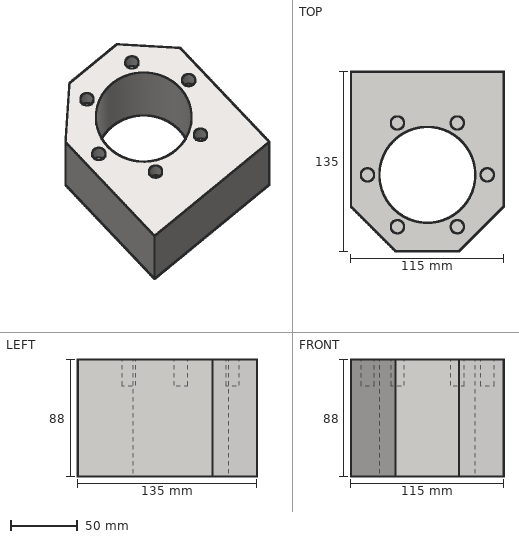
import cadquery as cq
import math

width = 115.0
length = 135.0
height = 88.0
octagon_half_angle = 180 / 8

bore_diameter = 72.0

hole_count = 6
hole_diameter = 10.0
hole_circle_diameter = 90.0
hole_depth = 20.0

half_width = width / 2
front_y = -half_width
back_y = length - half_width
half_flat = half_width * math.tan(math.radians(octagon_half_angle))


def make_block():
    outline = [
        (-half_width, back_y),
        (-half_width, -half_flat),
        (-half_flat, front_y),
        (half_flat, front_y),
        (half_width, -half_flat),
        (half_width, back_y),
    ]
    return cq.Workplane("XY").polyline(outline).close().extrude(height)


def make_bore():
    return cq.Workplane("XY").circle(bore_diameter / 2).extrude(height)


def make_hole_ring():
    return (
        cq.Workplane("XY")
        .workplane(offset=height)
        .polarArray(hole_circle_diameter / 2, 0, 360, hole_count)
        .circle(hole_diameter / 2)
        .extrude(-hole_depth)
    )


result = make_block().cut(make_bore()).cut(make_hole_ring())